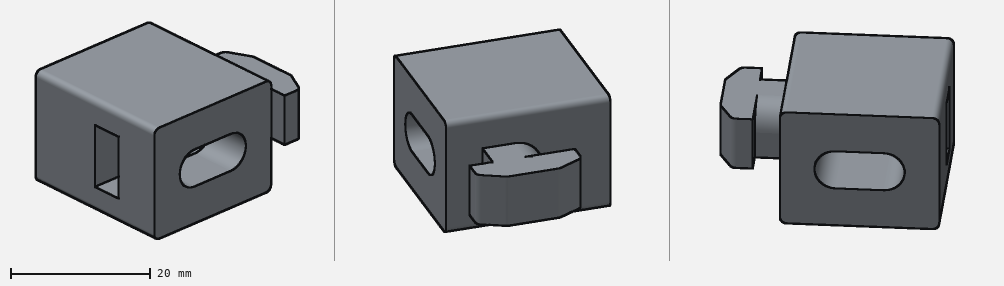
import cadquery as cq

block_width = 25.0
block_depth = 23.0
block_height = 18.0
block_edge_radius = 1.0
mid_height = block_height / 2

slot_length = 13.0
slot_height = 6.0
slot_front_margin = 5.0

foot_x = 15.0
foot_height = 8.0
neck_width = 9.0
neck_length = 4.5
neck_radius = foot_height / 2
head_width = 16.0
head_length = 5.0
head_side_length = 3.0
head_tip_width = 8.0
head_edge_radius = 1.0

pocket_width = 5.0
pocket_height = 10.0
pocket_depth = 20.0


def make_block():
    block = cq.Workplane("XY").box(block_width, block_depth, block_height, centered=False)
    return block.edges("|X").fillet(block_edge_radius)


def make_slot():
    slot_center_y = slot_front_margin + slot_length / 2
    return (
        cq.Workplane("YZ")
        .center(slot_center_y, mid_height)
        .slot2D(slot_length, slot_height)
        .extrude(block_width)
    )


def make_pocket():
    return (
        cq.Workplane("XY")
        .box(pocket_width, pocket_depth, pocket_height, centered=(True, False, True))
        .translate((foot_x, 0, mid_height))
    )


def make_neck():
    neck = (
        cq.Workplane("XY")
        .box(neck_width, neck_length, foot_height, centered=(True, False, True))
        .translate((foot_x, block_depth, mid_height))
    )
    upper_left = neck.edges("|Y").edges("<X").edges(">Z")
    lower_right = neck.edges("|Y").edges(">X").edges("<Z")
    return neck.newObject(upper_left.vals() + lower_right.vals()).fillet(neck_radius)


def make_head():
    inner_y = block_depth + neck_length
    shoulder_y = inner_y + head_side_length
    tip_y = inner_y + head_length
    left = foot_x - head_width / 2
    right = foot_x + head_width / 2
    tip_left = foot_x - head_tip_width / 2
    tip_right = foot_x + head_tip_width / 2
    outline = [
        (left, inner_y),
        (right, inner_y),
        (right, shoulder_y),
        (tip_right, tip_y),
        (tip_left, tip_y),
        (left, shoulder_y),
    ]
    head = (
        cq.Workplane("XY", origin=(0, 0, mid_height - foot_height / 2))
        .polyline(outline)
        .close()
        .extrude(foot_height)
    )
    return head.edges("|Z").edges("not <Y").fillet(head_edge_radius)


body = make_block().cut(make_slot()).cut(make_pocket())
result = body.union(make_neck()).union(make_head())